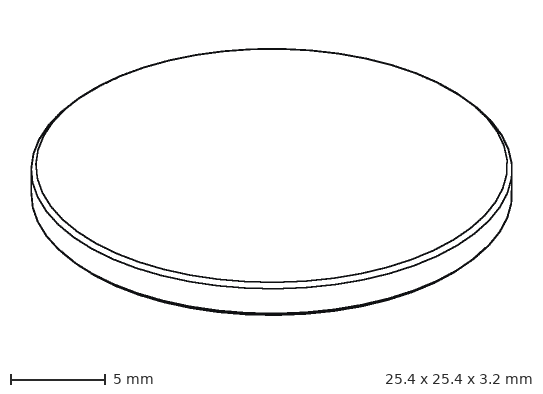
import cadquery as cq
import math

diameter = 25.4
center_thickness = 3.2
edge_thickness = 2.0
bevel = 0.25

radius = diameter / 2
face_radius = radius - bevel
half_center = center_thickness / 2
half_edge = edge_thickness / 2
half_band = half_edge - bevel


def lens_profile():
    """Half section in the XZ plane, from the axis out to the edge."""
    sag = half_center - half_edge
    sphere_radius = (face_radius**2 + sag**2) / (2 * sag)
    mid_angle = math.asin(face_radius / sphere_radius) / 2
    mid_x = sphere_radius * math.sin(mid_angle)
    mid_z = half_center - sphere_radius * (1 - math.cos(mid_angle))
    return (
        cq.Workplane("XZ")
        .moveTo(0, -half_center)
        .threePointArc((mid_x, -mid_z), (face_radius, -half_edge))
        .lineTo(radius, -half_band)
        .lineTo(radius, half_band)
        .lineTo(face_radius, half_edge)
        .threePointArc((mid_x, mid_z), (0, half_center))
        .close()
    )


result = lens_profile().revolve(360, (0, 0, 0), (0, 1, 0))